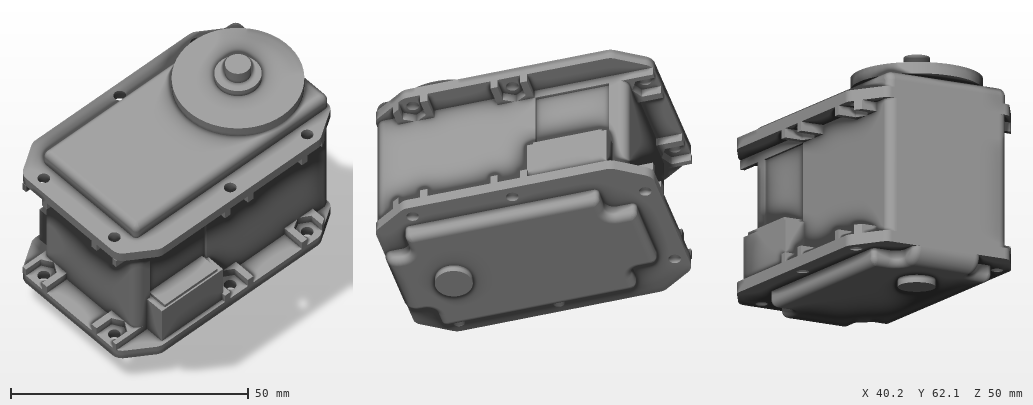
import cadquery as cq
import math

cover_bottom_z = 0.0
flange_gap = 3.5
flange_thickness = 2.4
pad_height = 2.0
case_height = 40.9
lower_flange_z = cover_bottom_z + flange_gap
lower_pad_z = lower_flange_z + flange_thickness
upper_flange_top_z = 37.3
upper_flange_z = upper_flange_top_z - flange_thickness
upper_pad_z = upper_flange_z - pad_height

case_width = 29.25
case_rear_y = 13.0
case_front_y = -42.4
case_corner_radius = 2.0
flange_width = 40.2
disc_diameter = 28.0
overall_length = 62.1
flange_front_y = disc_diameter / 2 - overall_length
flange_corner_x = 5.1
flange_corner_y = 7.75
flange_corner_radius = 3.0
flange_rear_radius = 2.0
case_half_width = case_width / 2
flange_half_width = flange_width / 2

cover_edge_radius = 1.55
corner_radius = 1.05
top_rear_radius = 2.0
bottom_rear_radius = 3.35
notch_size = 6.4
notch_inner_radius = 2.35

screw_diameter = 2.7
screw_edge_distance = 2.8
nut_across_flats = 4.95
pad_length = 8.1
side_screw_y = (4.0, -17.95)
front_screw_x = 11.05

recess_depth = 0.7
recess_rear_y = -22.3
recess_front_y = -38.4
connector_rear_y = -21.75
connector_front_y = -39.2
connector_top_z = 15.5
connector_outer_x = 19.2
lip_height = 0.8
lip_inset_y = 1.25
lip_inset_x = 0.4

disc_clearance = 0.4
disc_thickness = 2.5
hub_height = 1.6
disc_bottom_z = case_height + disc_clearance
disc_top_z = disc_bottom_z + disc_thickness
hub_top_z = disc_top_z + hub_height
shaft_top_z = 48.4
bottom_pin_length = 1.6
shaft_parts = (
    (11.0, case_height, disc_bottom_z),
    (disc_diameter, disc_bottom_z, disc_top_z),
    (10.0, disc_top_z, hub_top_z),
    (5.5, hub_top_z, shaft_top_z),
    (8.0, cover_bottom_z - bottom_pin_length, cover_bottom_z),
)


def block(x0, x1, y0, y1, z0, z1):
    """Box between two opposite corners."""
    return cq.Workplane("XY").box(x1 - x0, y1 - y0, z1 - z0, centered=False).translate((x0, y0, z0))


def case_block(z0, z1):
    """Square-edged slice of the case."""
    return block(-case_half_width, case_half_width, case_front_y, case_rear_y, z0, z1)


def flange_outline(z0, z1):
    """Plate with four long corner chamfers."""
    length = case_rear_y - flange_front_y
    inner_x = flange_half_width - flange_corner_x
    outer_y = length / 2
    inner_y = outer_y - flange_corner_y
    points = [
        (inner_x, outer_y), (flange_half_width, inner_y),
        (flange_half_width, -inner_y), (inner_x, -outer_y),
        (-inner_x, -outer_y), (-flange_half_width, -inner_y),
        (-flange_half_width, inner_y), (-inner_x, outer_y),
    ]
    plate = cq.Workplane("XY").polyline(points).close().extrude(z1 - z0)
    return plate.translate((0, (case_rear_y + flange_front_y) / 2, z0))


def screw_stations():
    """Centre and outward direction, in degrees, of each screw."""
    side_x = flange_half_width - screw_edge_distance
    stations = []
    for y in side_screw_y:
        stations.append((side_x, y, 0))
        stations.append((-side_x, y, 180))
    for x in (-front_screw_x, front_screw_x):
        stations.append((x, flange_front_y + screw_edge_distance, 270))
    return stations


def nut_pocket(x, y, direction, z0, z1):
    """Hexagonal nut seat with a point inward, open at the flange edge."""
    across_corners = nut_across_flats / math.cos(math.radians(30))
    hexagon = cq.Workplane("XY").polygon(6, across_corners).extrude(z1 - z0)
    mouth_length = 2 * screw_edge_distance
    half_width = nut_across_flats / 2
    mouth = block(0, mouth_length, -half_width, half_width, 0, z1 - z0)
    return hexagon.union(mouth).rotate((0, 0, 0), (0, 0, 1), direction).translate((x, y, z0))


def pads(z0, z1):
    """Raised seats around the screws, trimmed to the flange outline."""
    seats = cq.Workplane("XY")
    half_length = pad_length / 2
    front_pad_inner_x = front_screw_x - half_length
    front_pad_rear_y = case_front_y + case_corner_radius
    for side in (-1, 1):
        inner, outer = sorted((side * front_pad_inner_x, side * case_half_width))
        seats = seats.union(block(inner, outer, flange_front_y, front_pad_rear_y, z0, z1))
    for y in side_screw_y:
        seats = seats.union(
            block(-flange_half_width, flange_half_width, y - half_length, y + half_length, z0, z1)
        )
    return seats.intersect(flange_outline(z0, z1))


def flange(plate_z, pad_z):
    """Screw flange with rounded corners, and its pads."""
    plate = flange_outline(plate_z, plate_z + flange_thickness)
    plate = plate.edges("|Z").edges("not >Y").fillet(flange_corner_radius)
    plate = plate.edges("|Z and >Y").fillet(flange_rear_radius)
    return plate.union(pads(pad_z, pad_z + pad_height))


def nut_pockets():
    """Nut seats in the pads of both flanges; their points just reach into the case."""
    pockets = cq.Workplane("XY")
    for z in (lower_pad_z, upper_pad_z):
        for x, y, direction in screw_stations():
            pockets = pockets.union(nut_pocket(x, y, direction, z, z + pad_height))
    return pockets


def top_cover():
    """Cover whose rounded upper edges run on down the rear corners."""
    cover = case_block(upper_flange_z, case_height)
    cover = cover.edges(">Y and >Z").fillet(top_rear_radius)
    cover = cover.faces(">Z").edges("not (|X and >Y)").fillet(cover_edge_radius)
    return cover.edges("|Z and <Y").fillet(corner_radius)


def bottom_cover():
    """Cover with four notched corners and rounded lower edges."""
    cover = case_block(cover_bottom_z, lower_pad_z)
    cover = cover.edges(">Y and <Z").fillet(bottom_rear_radius)

    inner_x = case_half_width - notch_size
    notch_rear_y = case_rear_y - notch_size
    notch_front_y = case_front_y + notch_size
    for x0, x1 in ((-case_half_width, -inner_x), (inner_x, case_half_width)):
        for y0, y1 in ((case_front_y, notch_front_y), (notch_rear_y, case_rear_y)):
            cover = cover.cut(block(x0, x1, y0, y1, cover_bottom_z, lower_pad_z))

    margin = corner_radius
    inside_box = cq.selectors.BoxSelector(
        (-inner_x - margin, notch_front_y - margin, cover_bottom_z),
        (inner_x + margin, notch_rear_y + margin, case_height),
    )
    cover = cover.edges("|Z").edges(inside_box).fillet(notch_inner_radius)

    cover = cover.faces("<Z").edges("not (|X and >Y)").fillet(cover_edge_radius)

    return cover.edges("|Z and (<X or >X or <Y)").fillet(corner_radius)


def main_case():
    """Body between the flanges, with a recess in each side above the connector."""
    body = case_block(lower_flange_z, upper_flange_top_z).edges("|Z").fillet(case_corner_radius)
    floor_x = case_half_width - recess_depth
    for x0, x1 in ((-case_half_width, -floor_x), (floor_x, case_half_width)):
        body = body.cut(block(x0, x1, recess_front_y, recess_rear_y, lower_pad_z, upper_pad_z))
    return body


def connectors():
    """Connector housing on each side, topped by a thin lip."""
    x = connector_outer_x
    housing = block(-x, x, connector_front_y, connector_rear_y, lower_pad_z, connector_top_z)
    lip_x = x - lip_inset_x
    lip = block(
        -lip_x, lip_x,
        connector_front_y + lip_inset_y, connector_rear_y - lip_inset_y,
        connector_top_z, connector_top_z + lip_height,
    )
    return housing.union(lip)


def shaft():
    """Stepped output shaft with its disc, and the pin under the case."""
    stack = cq.Workplane("XY")
    for diameter, z0, z1 in shaft_parts:
        step = cq.Workplane("XY").workplane(offset=z0).circle(diameter / 2).extrude(z1 - z0)
        stack = stack.union(step)
    return stack


def screw_holes():
    """Through holes for every screw, long enough for both flanges."""
    centres = [(x, y) for x, y, _ in screw_stations()]
    return cq.Workplane("XY").pushPoints(centres).circle(screw_diameter / 2).extrude(case_height)


result = (
    flange(lower_flange_z, lower_pad_z)
    .union(flange(upper_flange_z, upper_pad_z))
    .cut(screw_holes())
    .union(main_case())
    .cut(nut_pockets())
    .union(connectors())
    .union(bottom_cover())
    .union(top_cover())
    .union(shaft())
)